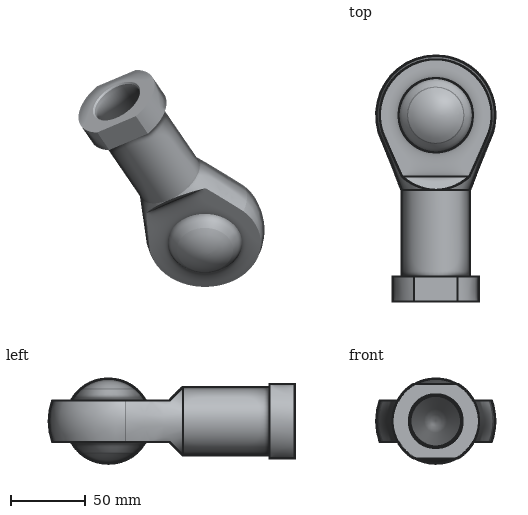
import cadquery as cq
import math


eye_radius = 40.0
eye_thickness = 28.0
neck_start_angle = 16.8

shank_radius = 23.0
neck_end_y = -50.0
collar_radius = 29.0
collar_length = 17.0
collar_across_flats = 50.0
shank_end_y = -125.0
collar_start_y = shank_end_y + collar_length

bore_radius = 17.0
bore_depth = 60.0
bore_chamfer = 1.0
drill_point_angle = 118.0

ball_radius = 57.15 / 2
ball_band_width = 43.0


def point_on_circle(radius, angle):
    return (radius * math.cos(math.radians(angle)), radius * math.sin(math.radians(angle)))


def revolved_blank():
    """Spherical eye, conical neck, shank and collar, all turned about Y."""
    return (
        cq.Workplane("XY")
        .moveTo(0, eye_radius)
        .threePointArc(
            point_on_circle(eye_radius, 45),
            point_on_circle(eye_radius, -neck_start_angle),
        )
        .lineTo(shank_radius, neck_end_y)
        .lineTo(shank_radius, collar_start_y)
        .lineTo(collar_radius, collar_start_y)
        .lineTo(collar_radius, shank_end_y)
        .lineTo(0, shank_end_y)
        .close()
        .revolve(360, (0, 0, 0), (0, 1, 0))
    )


def side_envelope():
    """Flat eye, 45 degree shoulders and wrench flats, as one outline across the full width."""
    half_eye = eye_thickness / 2
    half_flats = collar_across_flats / 2
    shoulder_start_y = neck_end_y + (shank_radius - half_eye)
    shoulder_end_y = shoulder_start_y - (half_flats - half_eye)
    upper_side = [
        (eye_radius, half_eye),
        (shoulder_start_y, half_eye),
        (shoulder_end_y, half_flats),
        (shank_end_y, half_flats),
    ]
    lower_side = [(y, -z) for y, z in reversed(upper_side)]
    return cq.Workplane("YZ").polyline(upper_side + lower_side).close().extrude(eye_radius, both=True)


def rod_bore():
    """Chamfered blind hole with a conical drill point, turned about Y."""
    bore_bottom_y = shank_end_y + bore_depth
    drill_tip_y = bore_bottom_y + bore_radius / math.tan(math.radians(drill_point_angle / 2))
    return (
        cq.Workplane("XY")
        .moveTo(0, shank_end_y)
        .lineTo(bore_radius + bore_chamfer, shank_end_y)
        .lineTo(bore_radius, shank_end_y + bore_chamfer)
        .lineTo(bore_radius, bore_bottom_y)
        .lineTo(0, drill_tip_y)
        .close()
        .revolve(360, (0, 0, 0), (0, 1, 0))
    )


def make_ball():
    """Full sphere about Z, its surface divided by a circle near each pole."""
    band_edge_angle = math.degrees(math.asin(ball_band_width / 2 / ball_radius))
    cap_middle_angle = (90 + band_edge_angle) / 2
    return (
        cq.Workplane("XZ")
        .moveTo(0, -ball_radius)
        .threePointArc(
            point_on_circle(ball_radius, -cap_middle_angle),
            point_on_circle(ball_radius, -band_edge_angle),
        )
        .threePointArc((ball_radius, 0), point_on_circle(ball_radius, band_edge_angle))
        .threePointArc(point_on_circle(ball_radius, cap_middle_angle), (0, ball_radius))
        .close()
        .revolve(360, (0, 0, 0), (0, 1, 0), clean=False)
    )


def make_housing(ball):
    """Rod end whose spherical socket fits the ball."""
    return revolved_blank().intersect(side_envelope()).cut(rod_bore()).cut(ball).solids()


ball = make_ball()
housing = make_housing(ball)

result = cq.Compound.makeCompound([housing.val(), ball.val()])